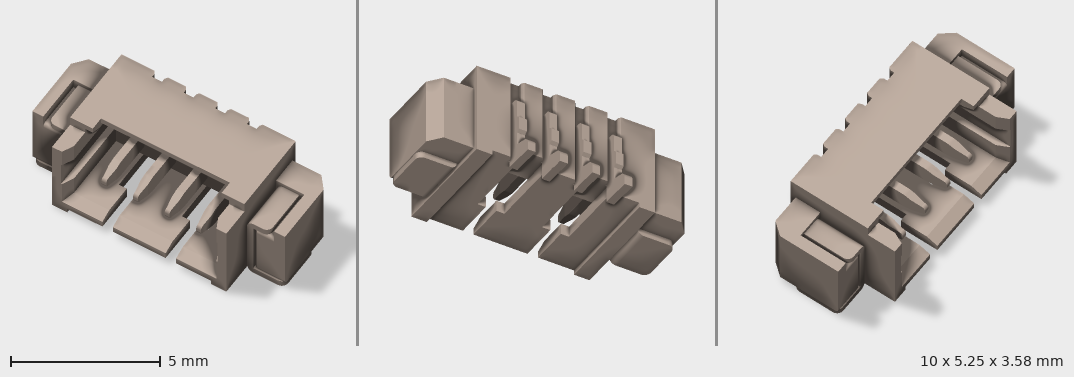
import cadquery as cq
import math


housing_width = 6.9
housing_depth = 4.31
housing_top = 3.58
housing_bottom = 0.08
floor_bottom = 0.26
shoulder_depth = 1.12
roof_cut_width = 5.1
roof_cut_back = 1.63

cavity_width = 5.7
cavity_floor = 0.69
cavity_ceiling = 3.18
cavity_back = 3.04
lead_in_depth = 0.43
lead_in_rise = 0.18
lead_in_side = 0.21
key_slot_width = 6.18
key_slot_bottom = 1.45
key_slot_top = 2.46

floor_slot_width = 0.41
floor_window_width = 1.04
floor_window_front = 1.51

pin_count = 4
pin_pitch = 1.25
pin_width = 0.3
pin_bottom = 1.16
pin_top = 1.88
pin_tip_y = 0.75
pin_tip_width = 0.19
pin_tip_bottom = 1.31
pin_tip_top = 1.7
pin_tip_radius = 0.14
pin_taper_y = 1.62
pin_taper_curve = 0.12
pin_taper_drop = 0.02
pin_side_taper_y = 1.29
leg_front = 4.05
leg_back = 4.55
leg_top = 2.62
leg_corner_depth = 0.21
leg_corner_drop = 0.12
bump_size = 0.12
bump_chamfer = 0.09
bump_bottom = 1.16
bump_top = 1.84
foot_end = 5.25
foot_end_height = 0.32
toe_bulge = 0.07
foot_root_height = 0.68
foot_bend_y = 5.02
foot_bend_z = 0.56
foot_heel_lift = 0.03
foot_flat_start = 4.8
notch_width = 0.39
notch_mouth_width = 0.54
notch_chamfer_depth = 0.11

wing_end = 5.0
wing_front = 1.21
wing_back = 4.1
wing_top = 2.77
wing_bottom = floor_bottom
wing_chamfer_x = 0.4
wing_chamfer_y = 0.49
pocket_back = 3.08
pocket_end = 4.57
block_edge = 0.15

clip_start = 3.5
clip_thickness = 0.24
clip_bottom = 0.02
clip_top = 2.61
clip_arm_end = 4.37
clip_corner_radius = 0.25
clip_tip_radius = 0.25
clip_foot_end = 4.97

block_start = clip_start + clip_thickness
block_top = clip_top - clip_thickness


def box(x_range, y_range, z_range):
    """Axis-aligned box between the given limits."""
    lengths = [high - low for low, high in (x_range, y_range, z_range)]
    corner = (x_range[0], y_range[0], z_range[0])
    return cq.Workplane("XY").box(*lengths, centered=False).translate(corner)


def centered_box(width, y_range, z_range, x=0):
    """Box of the given width centred on a position along X."""
    return box((x - width / 2, x + width / 2), y_range, z_range)


def side_prism(outline, x_range):
    """Close a Y-Z outline and extrude it along X."""
    start, end = x_range
    return outline.close().extrude(end - start).translate((start, 0, 0))


def plan_prism(points, z_range):
    """Extrude an X-Y polygon along Z."""
    bottom, top = z_range
    return cq.Workplane("XY").workplane(offset=bottom).polyline(points).close().extrude(top - bottom)


def ceiling_lead_in(front, width):
    """Wedge that slopes the roof's lower front edge."""
    outline = cq.Workplane("YZ").polyline([
        (front, cavity_ceiling),
        (front + lead_in_depth, cavity_ceiling),
        (front, cavity_ceiling + lead_in_rise),
    ])
    return side_prism(outline, (-width / 2, width / 2))


def mouth_lead_in():
    """Tapered opening at the mating face, flared at the sides and the floor and open at the top."""
    front_half = cavity_width / 2 + lead_in_side
    back_half = cavity_width / 2
    top = cavity_ceiling
    low = cavity_floor - lead_in_rise
    front = [(-front_half, low), (front_half, low), (front_half, top), (-front_half, top)]
    back = [(-back_half, cavity_floor), (back_half, cavity_floor), (back_half, top), (-back_half, top)]
    return (
        cq.Workplane("XZ").polyline(front).close()
        .workplane(offset=-lead_in_depth).polyline(back).close()
        .loft(ruled=True, combine=True)
    )


def pin_notch(x):
    """Full-height groove in the back face that receives a pin's leg."""
    half = notch_width / 2
    mouth_half = notch_mouth_width / 2
    chamfer_start = housing_depth - notch_chamfer_depth
    points = [
        (x - half, leg_front),
        (x + half, leg_front),
        (x + half, chamfer_start),
        (x + mouth_half, housing_depth),
        (x - mouth_half, housing_depth),
        (x - half, chamfer_start),
    ]
    return plan_prism(points, (0, housing_top))


def make_housing(pin_positions):
    full_depth = (0, housing_depth)
    body = centered_box(housing_width, full_depth, (housing_bottom, housing_top))

    body = body.cut(centered_box(housing_width, (0, shoulder_depth), (cavity_ceiling, housing_top)))
    body = body.cut(centered_box(roof_cut_width, (0, roof_cut_back), (cavity_ceiling, housing_top)))
    body = body.cut(centered_box(cavity_width, full_depth, (housing_bottom, floor_bottom)))

    body = body.cut(centered_box(cavity_width, (0, cavity_back), (cavity_floor, cavity_ceiling)))
    body = body.cut(centered_box(key_slot_width, (0, cavity_back), (key_slot_bottom, key_slot_top)))
    body = body.cut(mouth_lead_in())
    body = body.cut(ceiling_lead_in(shoulder_depth, cavity_width))
    body = body.cut(ceiling_lead_in(roof_cut_back, roof_cut_width))

    floor_z = (floor_bottom, cavity_floor)
    for x in (-pin_pitch, pin_pitch):
        body = body.cut(centered_box(floor_slot_width, (0, floor_window_front), floor_z, x))
        body = body.cut(centered_box(floor_window_width, (floor_window_front, housing_depth), floor_z, x))

    for x in pin_positions:
        body = body.cut(pin_notch(x))
    return body


def make_pin():
    """Pin centred on X = 0: tapered blade, upright leg with a bump, and a solder foot."""
    diagonal = math.sqrt(0.5)
    taper_straight_y = pin_taper_y - pin_taper_curve
    tip_arc_y = pin_tip_y + pin_tip_radius
    arc_reach = pin_tip_radius * (1 - diagonal)
    blade = (
        cq.Workplane("YZ")
        .moveTo(leg_front, pin_bottom)
        .lineTo(pin_taper_y, pin_bottom)
        .threePointArc(
            (pin_taper_y - pin_taper_curve / 2, pin_bottom + pin_taper_drop / 4),
            (taper_straight_y, pin_bottom + pin_taper_drop),
        )
        .lineTo(tip_arc_y, pin_tip_bottom)
        .threePointArc(
            (pin_tip_y + arc_reach, pin_tip_bottom + arc_reach),
            (pin_tip_y, pin_tip_bottom + pin_tip_radius),
        )
        .lineTo(pin_tip_y, pin_tip_top - pin_tip_radius)
        .threePointArc((pin_tip_y + arc_reach, pin_tip_top - arc_reach), (tip_arc_y, pin_tip_top))
        .lineTo(taper_straight_y, pin_top - pin_taper_drop)
        .threePointArc(
            (pin_taper_y - pin_taper_curve / 2, pin_top - pin_taper_drop / 4),
            (pin_taper_y, pin_top),
        )
        .lineTo(leg_front, pin_top)
    )
    half = pin_width / 2
    blade = side_prism(blade, (-half, half))
    tip_half = pin_tip_width / 2
    blade_plan = plan_prism(
        [
            (-half, leg_front),
            (-half, pin_side_taper_y),
            (-tip_half, tip_arc_y),
            (-tip_half, pin_tip_y),
            (tip_half, pin_tip_y),
            (tip_half, tip_arc_y),
            (half, pin_side_taper_y),
            (half, leg_front),
        ],
        (pin_bottom, pin_top),
    )
    blade = blade.intersect(blade_plan)

    toe_middle = (
        (foot_bend_y + foot_end + toe_bulge) / 2,
        (foot_bend_z + foot_end_height + toe_bulge) / 2,
    )
    leg = (
        cq.Workplane("YZ")
        .moveTo(leg_front, foot_heel_lift)
        .lineTo(leg_front, leg_top)
        .lineTo(leg_back - leg_corner_depth, leg_top)
        .tangentArcPoint((leg_back, leg_top - leg_corner_drop), relative=False)
        .lineTo(leg_back, bump_top)
        .lineTo(leg_back + bump_size, bump_top - bump_chamfer)
        .lineTo(leg_back + bump_size, bump_bottom + bump_chamfer)
        .lineTo(leg_back, bump_bottom)
        .lineTo(leg_back, foot_root_height)
        .lineTo(foot_bend_y, foot_bend_z)
        .threePointArc(toe_middle, (foot_end, foot_end_height))
        .lineTo(foot_end, 0)
        .lineTo(foot_flat_start, 0)
        .lineTo(foot_flat_start, foot_heel_lift)
    )
    return blade.union(side_prism(leg, (-half, half)))


def make_wing():
    """Wing on the +X side: a solid root beside the housing and a hollowed front that holds the clip."""
    root = housing_width / 2
    plan = [
        (root, pocket_back),
        (block_start, pocket_back),
        (block_start, wing_front),
        (wing_end, wing_front),
        (wing_end, wing_back - wing_chamfer_y),
        (wing_end - wing_chamfer_x, wing_back),
        (root, wing_back),
    ]
    wing = plan_prism(plan, (wing_bottom, wing_top))
    wing = wing.cut(box((block_start, pocket_end), (wing_front, pocket_back), (block_top, wing_top)))

    axis_y = wing_front + block_edge
    upper_axis_z = block_top - block_edge
    lower_axis_z = wing_bottom + block_edge
    for axis_z, edge_z_range, end in (
        (upper_axis_z, (upper_axis_z, block_top), pocket_end),
        (lower_axis_z, (wing_bottom, lower_axis_z), wing_end),
    ):
        corner = box((block_start, end), (wing_front, axis_y), edge_z_range)
        axis_start = (block_start, axis_y, axis_z)
        rounding = cq.Workplane("YZ", origin=axis_start).circle(block_edge).extrude(end - block_start)
        wing = wing.cut(corner.cut(rounding))
    slope = [(block_start, wing_front), (block_start + block_edge, wing_front), (block_start, axis_y)]
    return wing.cut(plan_prism(slope, (wing_bottom, block_top)))


def make_clip():
    """C-shaped solder clip on the +X side, with its foot below the wing."""
    depth = (wing_front, pocket_back)
    web = box((clip_start, block_start), depth, (clip_bottom, clip_top))
    arm = box((block_start, clip_arm_end), depth, (block_top, clip_top))
    arm = arm.edges("|Z and >X and <Y").fillet(clip_tip_radius)
    foot = box((block_start, clip_foot_end), depth, (clip_bottom, wing_bottom))
    foot = foot.edges("|Z and >X").fillet(clip_tip_radius)
    clip = web.union(arm).union(foot)
    return clip.edges("|Y and <X").fillet(clip_corner_radius)


pin_positions = [(i - (pin_count - 1) / 2) * pin_pitch for i in range(pin_count)]

result = make_housing(pin_positions)

pin = make_pin()
for x in pin_positions:
    result = result.union(pin.translate((x, 0, 0)))

wing_and_clip = make_wing().union(make_clip())
result = result.union(wing_and_clip).union(wing_and_clip.mirror("YZ"))